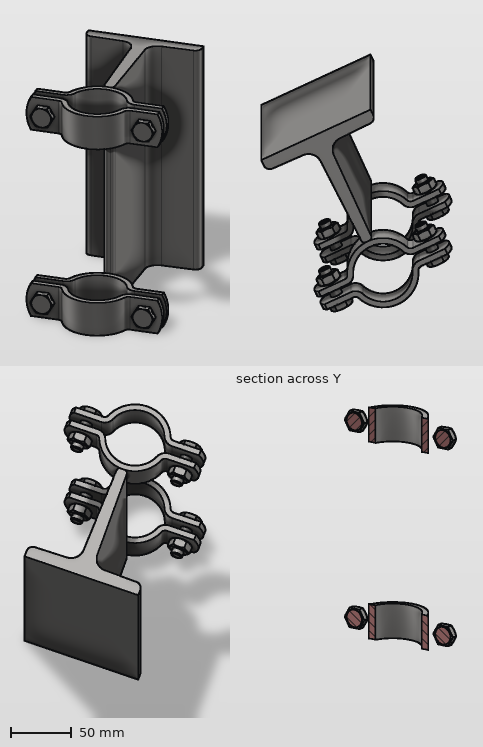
import cadquery as cq
import math

post_length = 200.0
flange_width = 100.0
section_depth = 100.0
section_thickness = 11.0
face_slope = 0.02
root_radius = section_thickness
toe_radius = section_thickness / 2
web_tip_radius = 3.0

clamp_outer_diameter = 59.0
strap_thickness = 5.0
clamp_width = 30.0
clamp_gap = 7.0
clamp_span = 118.0
ear_tip_radius = 30.0
bend_radius = 4.0
clamp_bottoms = [0.0, post_length - clamp_width]

bolt_offset = 44.0
bolt_diameter = 10.0
bolt_tip_diameter = 8.5
bolt_tip_chamfer = 1.0
bolt_protrusion = 5.0
hex_across_flats = 17.0
hex_chamfer_angle = 30.0
head_height = 6.5
head_face_diameter = hex_across_flats
washer_face_diameter = 15.5
washer_face_height = 0.5
nut_height = 8.0
nut_face_diameter = 15.5

clamp_outer_radius = clamp_outer_diameter / 2
clamp_inner_radius = clamp_outer_radius - strap_thickness
ear_inner_y = clamp_gap / 2
ear_outer_y = ear_inner_y + strap_thickness


def make_post():
    """Tapered tee section, extruded along Z. The web tip touches the clamps at the clamp outer radius."""
    tip_y = clamp_outer_radius
    back_y = tip_y + section_depth
    half_flange = flange_width / 2
    half_thickness = section_thickness / 2

    mid_y = tip_y + section_depth / 2
    quarter_y = back_y - section_thickness
    tip_x = half_thickness - face_slope * section_depth / 2
    toe_y = quarter_y + face_slope * half_flange / 2
    root_x = (half_thickness + face_slope * (quarter_y - face_slope * half_flange / 2 - mid_y)) / (
        1 - face_slope**2
    )
    root_y = quarter_y + face_slope * (root_x - half_flange / 2)

    right_side = [(tip_x, tip_y), (root_x, root_y), (half_flange, toe_y), (half_flange, back_y)]
    left_side = [(-x, y) for x, y in reversed(right_side)]
    post = cq.Workplane("XY").polyline(right_side + left_side).close().extrude(post_length)

    for radius, x, y in [
        (web_tip_radius, tip_x, tip_y),
        (root_radius, root_x, root_y),
        (toe_radius, half_flange, toe_y),
    ]:
        for side in (-1, 1):
            corner = cq.selectors.NearestToPointSelector((side * x, y, post_length / 2))
            post = post.edges("|Z").edges(corner).fillet(radius)
    return post


def make_strap():
    """Front strap: half ring, reverse bends and flat ears, with rounded ear tips."""
    bend_y = ear_outer_y + bend_radius
    bend_x = math.sqrt((clamp_outer_radius + bend_radius) ** 2 - bend_y**2)
    ring_angle = math.atan2(bend_y, bend_x)
    bend_mid_angle = (math.pi / 2 + math.pi - ring_angle) / 2
    outer_bend_radius = bend_radius + strap_thickness
    half_span = clamp_span / 2

    def ring_point(radius):
        return radius * math.cos(ring_angle), -radius * math.sin(ring_angle)

    def bend_point(radius):
        return bend_x + radius * math.cos(bend_mid_angle), -bend_y + radius * math.sin(bend_mid_angle)

    def mirrored(point):
        return -point[0], point[1]

    inner_end = ring_point(clamp_inner_radius)
    outer_end = ring_point(clamp_outer_radius)
    inner_bend = bend_point(outer_bend_radius)
    outer_bend = bend_point(bend_radius)
    strip = (
        cq.Workplane("XY")
        .moveTo(half_span, -ear_inner_y)
        .lineTo(bend_x, -ear_inner_y)
        .threePointArc(inner_bend, inner_end)
        .threePointArc((0, -clamp_inner_radius), mirrored(inner_end))
        .threePointArc(mirrored(inner_bend), (-bend_x, -ear_inner_y))
        .lineTo(-half_span, -ear_inner_y)
        .lineTo(-half_span, -ear_outer_y)
        .lineTo(-bend_x, -ear_outer_y)
        .threePointArc(mirrored(outer_bend), mirrored(outer_end))
        .threePointArc((0, -clamp_outer_radius), outer_end)
        .threePointArc(outer_bend, (bend_x, -ear_outer_y))
        .lineTo(half_span, -ear_outer_y)
        .close()
        .extrude(clamp_width)
    )

    half_width = clamp_width / 2
    tip_rise = ear_tip_radius - math.sqrt(ear_tip_radius**2 - half_width**2)
    edge_x = half_span - tip_rise
    ear_outline = (
        cq.Workplane("XZ")
        .moveTo(-edge_x, 0)
        .lineTo(edge_x, 0)
        .threePointArc((half_span, half_width), (edge_x, clamp_width))
        .lineTo(-edge_x, clamp_width)
        .threePointArc((-half_span, half_width), (-edge_x, 0))
        .close()
        .extrude(clamp_outer_radius)
    )
    return strip.intersect(ear_outline)


def make_hex(height, face_diameter, chamfer_foot):
    """Hexagon standing on z = 0, its corners chamfered at the top and optionally at the foot."""
    corner_radius = hex_across_flats / 2 / math.cos(math.pi / 6)
    face_radius = face_diameter / 2
    drop = (corner_radius - face_radius) * math.tan(math.radians(hex_chamfer_angle))
    profile = [(0, 0), (0, height), (face_radius, height), (corner_radius, height - drop)]
    if chamfer_foot:
        profile += [(corner_radius, drop), (face_radius, 0)]
    else:
        profile += [(corner_radius, 0)]
    envelope = cq.Workplane("XZ").polyline(profile).close().revolve(360, (0, 0, 0), (0, 1, 0))
    return cq.Workplane("XY").polygon(6, 2 * corner_radius).extrude(height).intersect(envelope)


def make_shank():
    """Plain round shank along Z, from under the head to the chamfered tip beyond the nut."""
    tip_z = ear_outer_y + nut_height + bolt_protrusion
    shank_radius = bolt_diameter / 2
    profile = [
        (0, -ear_outer_y),
        (shank_radius, -ear_outer_y),
        (shank_radius, tip_z - bolt_tip_chamfer),
        (bolt_tip_diameter / 2, tip_z),
        (0, tip_z),
    ]
    return cq.Workplane("XZ").polyline(profile).close().revolve(360, (0, 0, 0), (0, 1, 0))


def make_head():
    """Hexagon head on a round washer face, standing on z = 0."""
    washer_face = cq.Workplane("XY").circle(washer_face_diameter / 2).extrude(washer_face_height)
    hexagon = make_hex(head_height - washer_face_height, head_face_diameter, False)
    return washer_face.union(hexagon.translate((0, 0, washer_face_height)))


def make_bolt():
    """Bolt with its nut, along Y, with the head on the -Y side."""
    head = make_head().rotate((0, 0, 0), (1, 0, 0), 180).translate((0, 0, -ear_outer_y))
    nut = make_hex(nut_height, nut_face_diameter, True).translate((0, 0, ear_outer_y))
    return make_shank().union(head).union(nut).rotate((0, 0, 0), (1, 0, 0), -90)


def make_clamp():
    """Both straps and both bolts joined as one solid, standing on z = 0."""
    front_strap = make_strap()
    back_strap = front_strap.mirror("XZ")
    bolt = make_bolt()
    clamp = front_strap
    for side in (-1, 1):
        clamp = clamp.union(bolt.translate((side * bolt_offset, 0, clamp_width / 2)))
    return clamp.union(back_strap)


post = make_post()
clamp = make_clamp()
clamps = [clamp.translate((0, 0, bottom)) for bottom in clamp_bottoms]

result = cq.Compound.makeCompound([post.solids().val(), *[placed.solids().val() for placed in clamps]])